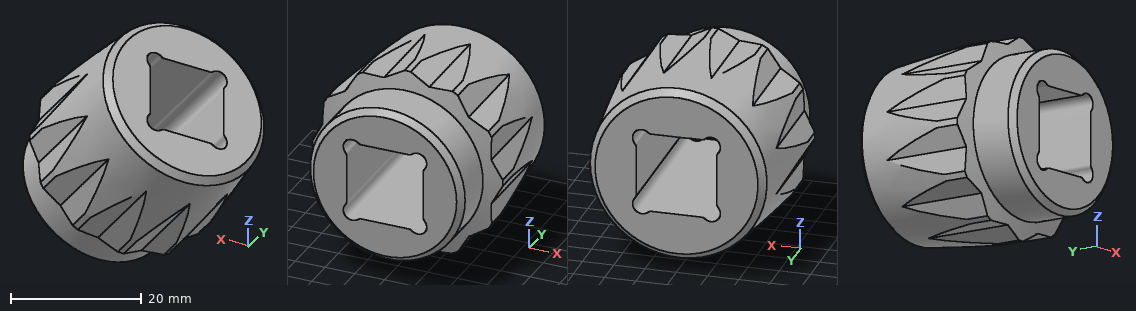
import cadquery as cq
import math

total_length = 29.5
neck_length = 7.7
straight_end = 12.5
end_chamfer_length = 1.1
neck_chamfer = 1.0

grip_radius = 16.0
neck_radius = 13.0
taper_end_radius = 14.15
back_face_radius = 13.0
shoulder_angle = 15.0

flute_count = 12
flute_root_radius = 14.7
ridge_half_angle = 1.9

square_side = 12.9
relief_radius = 1.5
relief_offset = 5.5
relief_blend_radius = 0.8

shoulder_depth = (grip_radius - neck_radius) * math.tan(math.radians(shoulder_angle))
body = (
    cq.Workplane("XY")
    .polyline([
        (0, 0),
        (neck_radius - neck_chamfer, 0),
        (neck_radius, neck_chamfer),
        (neck_radius, neck_length),
        (grip_radius, neck_length + shoulder_depth),
        (grip_radius, straight_end),
        (taper_end_radius, total_length - end_chamfer_length),
        (back_face_radius, total_length),
        (0, total_length),
    ])
    .close()
    .revolve(360, (0, 0, 0), (0, 1, 0))
)


def along_y(start=0.0):
    """Workplane at Y = start, facing -Y, so that extruding by a negative length runs toward +Y."""
    return cq.Workplane("XZ", origin=(0, start, 0))


def flute_cutter():
    """V-shaped prism, parallel to Y, whose flanks meet the grip at the ridge edges."""
    half_pitch = math.radians(180 / flute_count - ridge_half_angle)
    edge_x = grip_radius * math.sin(half_pitch)
    edge_z = grip_radius * math.cos(half_pitch)
    overshoot = 2.0
    outer_x = edge_x * overshoot
    outer_z = flute_root_radius + (edge_z - flute_root_radius) * overshoot
    return (
        along_y(neck_length)
        .polyline([(0, flute_root_radius), (outer_x, outer_z), (0, 2 * grip_radius), (-outer_x, outer_z)])
        .close()
        .extrude(neck_length - total_length)
    )


pitch_angle = 360 / flute_count
for index in range(flute_count):
    angle = (index + 0.5) * pitch_angle
    body = body.cut(flute_cutter().rotate((0, 0, 0), (0, 1, 0), angle))

square = along_y().rect(square_side, square_side).extrude(-total_length)
reliefs = (
    along_y()
    .rect(2 * relief_offset, 2 * relief_offset, forConstruction=True)
    .vertices()
    .circle(relief_radius)
    .extrude(-total_length)
)
drive_hole = square.union(reliefs)


def junction_edges(tool):
    """Lengthwise edges where the reliefs meet the flats, leaving out the seams of the reliefs."""
    half_side = square_side / 2
    tolerance = 0.001
    return tool.edges("|Y").filter(
        lambda edge: abs(max(abs(edge.Center().x), abs(edge.Center().z)) - half_side) < tolerance
    )


drive_hole = junction_edges(drive_hole).fillet(relief_blend_radius)
result = body.cut(drive_hole)